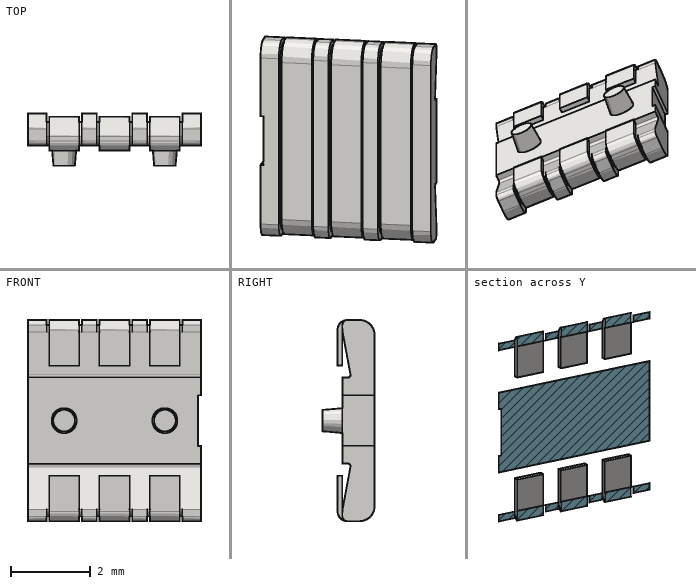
import math

import cadquery as cq

body_length = 4.37
body_thickness = 0.813
body_height = 5.08
back_radius = 0.381
front_radius = 0.127

pad_height = 2.174
undercut_start = 0.305
undercut_angle = math.radians(10.5)
undercut_fillet = 0.0635

band_count = 3
band_pitch = 1.27
band_width = 0.762
band_thickness = 0.127
band_recess = 0.084
band_tip_length = 1.153
channel_clearance = 0.0635
channel_width = band_width + 2 * channel_clearance

core_back_radius = 0.371
band_front_radius = 0.254
core_front_radius = 0.178

peg_spacing = 2 * band_pitch
peg_length = 0.508
peg_base_diameter = 0.635
peg_draft = 5.0

notch_depth = 0.076
notch_height = 1.27

half_height = body_height / 2
band_xs = [(i - (band_count - 1) / 2) * band_pitch for i in range(band_count)]


def rounded_bar(x_center, length, front, back, half_z, front_fillet, back_fillet):
    """Bar along X between two Y planes, with rounded front and back edges."""
    bar = cq.Workplane("XY").box(length, back - front, 2 * half_z)
    bar = bar.translate((x_center, (front + back) / 2, 0))
    bar = bar.edges("|X and <Y").fillet(front_fillet)
    return bar.edges("|X and >Y").fillet(back_fillet)


def core_bar(x_center, length):
    """The part of the body section that lies inside the bands."""
    return rounded_bar(
        x_center,
        length,
        0,
        body_thickness - band_recess - band_thickness,
        half_height - band_thickness,
        core_front_radius,
        core_back_radius,
    )


def undercut():
    """Wedge removed above the pad, deepest next to it, with a rounded inner corner."""
    start_z = half_height - undercut_start
    ledge_z = pad_height / 2
    depth = (start_z - ledge_z) * math.tan(undercut_angle)
    return (
        cq.Workplane("YZ")
        .polyline([(0, start_z), (0, ledge_z), (depth, ledge_z)])
        .close()
        .extrude(body_length / 2, both=True)
        .edges("|X and >Y")
        .fillet(undercut_fillet)
    )


def body():
    solid = rounded_bar(
        0, body_length, 0, body_thickness, half_height, front_radius, back_radius
    )
    for x in band_xs:
        channel = cq.Workplane("XY").box(channel_width, 2 * body_thickness, 2 * body_height)
        channel = channel.translate((x, 0, 0))
        solid = solid.cut(channel).union(core_bar(x, channel_width))
    upper_undercut = undercut()
    solid = solid.cut(upper_undercut).cut(upper_undercut.mirror("XY"))
    notch = cq.Workplane("XY").box(2 * notch_depth, 2 * body_thickness, notch_height)
    return solid.cut(notch.translate((body_length / 2, 0, 0)))


def band(x_center):
    """C-shaped strip: around the back and both ends, with two free tips in front."""
    outer = rounded_bar(
        x_center,
        band_width,
        -band_thickness,
        body_thickness - band_recess,
        half_height,
        band_front_radius,
        core_back_radius + band_thickness,
    )
    gap_height = body_height - 2 * band_tip_length
    gap = cq.Workplane("XY").box(band_width, 2 * band_thickness, gap_height)
    gap = gap.translate((x_center, -band_thickness, 0))
    return outer.cut(core_bar(x_center, band_width)).cut(gap)


def peg(x_center):
    return (
        cq.Workplane("XZ")
        .center(x_center, 0)
        .circle(peg_base_diameter / 2)
        .extrude(peg_length, taper=peg_draft)
    )


result = body()
for band_x in band_xs:
    result = result.union(band(band_x))
for peg_x in (-peg_spacing / 2, peg_spacing / 2):
    result = result.union(peg(peg_x))